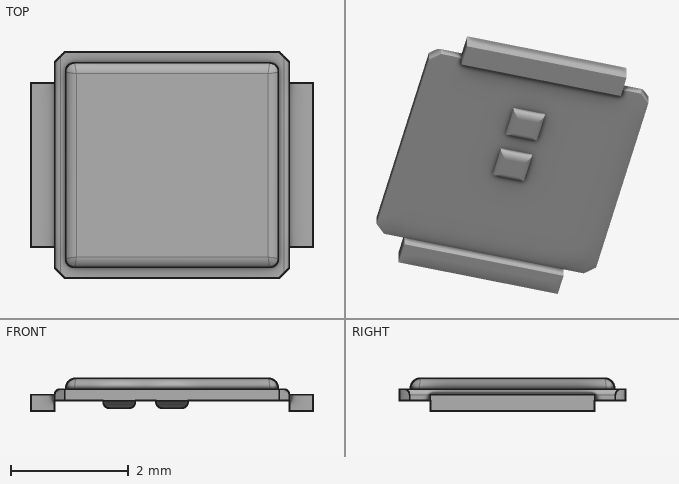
import cadquery as cq

overall_length = 4.8
overall_width = 3.85
overall_height = 0.56

plate_length = 3.995
plate_bottom = 0.18
plate_top = 0.375
corner_cut = 0.175
plate_end_radius = 0.095

lid_length = 3.62
lid_width = 3.475
lid_radius = 0.18
lid_corner_radius = 0.145

foot_width = 2.795
foot_height = plate_top - plate_end_radius
foot_length = (overall_length - plate_length) / 2

pad_size = 0.55
pad_bottom = 0.05
pad_radius = 0.115
pad_centers = [(-0.9, 0), (0, 0)]


def make_block(length, width, bottom, top):
    """Centered rectangular block between two heights."""
    block = cq.Workplane("XY").workplane(offset=bottom).rect(length, width)
    return block.extrude(top - bottom)


def make_plate():
    plate = make_block(plate_length, overall_width, plate_bottom, plate_top)
    plate = plate.faces(">Z").edges("|Y").fillet(plate_end_radius)
    outline = make_block(plate_length, overall_width, plate_bottom, plate_top)
    return plate.intersect(outline.edges("|Z").chamfer(corner_cut))


def make_lid():
    lid = make_block(lid_length, lid_width, plate_top, overall_height)
    return lid.edges("|Z").fillet(lid_corner_radius).faces(">Z").edges().fillet(lid_radius)


def make_pads():
    pads = cq.Workplane("XY").workplane(offset=plate_bottom).pushPoints(pad_centers)
    pads = pads.rect(pad_size, pad_size).extrude(pad_bottom - plate_bottom)
    return pads.faces("<Z").edges().fillet(pad_radius)


def make_feet():
    center_x = (plate_length + foot_length) / 2
    foot = make_block(foot_length, foot_width, 0, foot_height)
    return foot.translate((-center_x, 0, 0)).union(foot.translate((center_x, 0, 0)))


result = make_plate().union(make_lid()).union(make_pads()).union(make_feet())